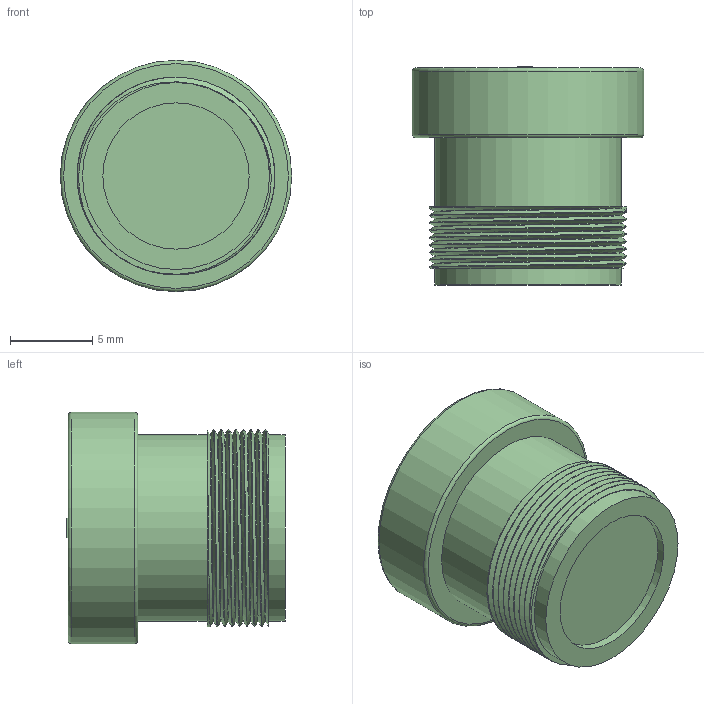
import cadquery as cq

barrel_diameter = 11.35
thread_diameter = 12.0
head_diameter = 14.05
head_start = 8.95
head_end = 13.18
head_edge_radius = 0.2

thread_start = 1.0
thread_end = 4.74
thread_pitch = 0.45
thread_root_diameter = 11.4
thread_root_width = 0.05
thread_crest_width = 0.01
first_root_on_x = 1.075
mouth_overrun = 0.02
groove_turns = 9

window_diameter = 8.88
window_depth = 0.5

mark_width = 0.92
mark_height = 1.2
mark_offset = -0.2
mark_thickness = 0.07


def disc(diameter, start, end):
    """Cylinder about the Y axis between two Y positions."""
    plane = cq.Plane(origin=(0, start, 0), xDir=(0, 0, 1), normal=(0, 1, 0))
    return cq.Workplane(plane).circle(diameter / 2).extrude(end - start)


def make_head():
    head = disc(head_diameter, head_start, head_end)
    return head.edges("%CIRCLE").fillet(head_edge_radius)


def make_groove():
    """Right-handed V groove wound about the Y axis, entering ahead of the threaded length."""
    root_radius = thread_root_diameter / 2
    mouth_radius = thread_diameter / 2 + mouth_overrun
    half_root = thread_root_width / 2
    half_mouth = (thread_pitch - thread_crest_width) / 2
    groove_start = first_root_on_x - thread_pitch

    path = cq.Wire.makeHelix(thread_pitch, groove_turns * thread_pitch, root_radius)
    profile = cq.Workplane("XZ").polyline([
        (root_radius, -half_root),
        (mouth_radius, -half_mouth),
        (mouth_radius, half_mouth),
        (root_radius, half_root),
    ]).close()
    groove = profile.sweep(cq.Workplane(path), isFrenet=True)
    return groove.rotate((0, 0, 0), (1, 0, 0), -90).translate((0, groove_start, 0))


def make_thread():
    """Threaded collar: a plain cylinder with the helical groove cut into it."""
    return disc(thread_diameter, thread_start, thread_end).cut(make_groove())


def make_mark():
    """Small raised pad on the rear face of the head."""
    pad = cq.Workplane("XZ", origin=(mark_offset, head_end, 0))
    return pad.rect(mark_width, mark_height).extrude(-mark_thickness)


barrel = disc(barrel_diameter, 0, head_start)
window = disc(window_diameter, 0, window_depth)
result = barrel.union(make_thread()).union(make_head()).union(make_mark()).cut(window)